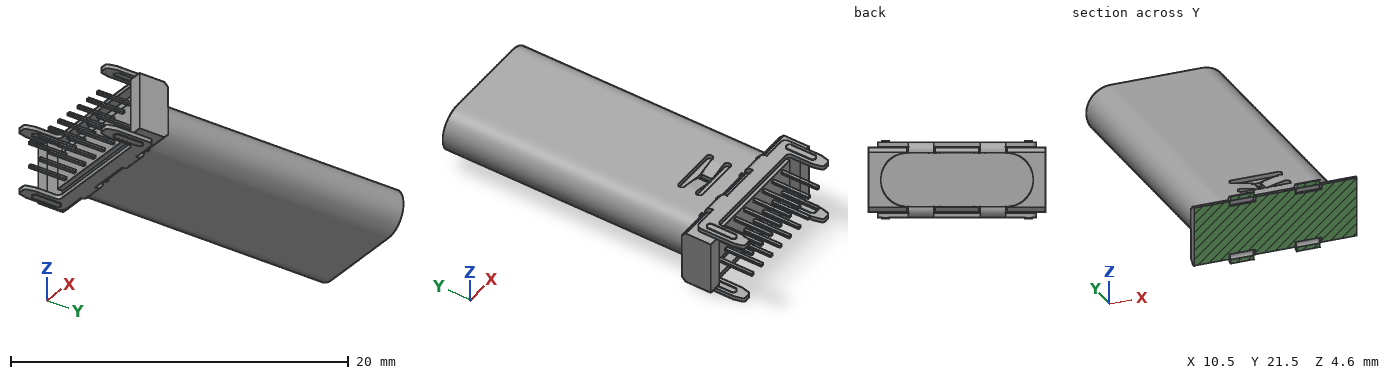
import cadquery as cq
import math

LENGTH = 21.5

SHELL_START = 3.98
SHELL_HALF_HEIGHT = 1.6
SHELL_FLAT_HALF_WIDTH = 2.95
EDGE_RADIUS = 1.57
SIDE_FLAT_HALF_HEIGHT = 0.1

BASE_WIDTH = 10.5
BASE_HEIGHT = 3.83
BASE_START = 1.91
BASE_CHAMFER = 0.28
POCKET_WIDTH = 8.65
POCKET_FLOOR = 3.0
CORE_HEIGHT = 2.25
CORE_START = 2.67

PIN_COUNT = 8
PIN_ROW_LENGTH = 7.0
PIN_PITCH = PIN_ROW_LENGTH / (PIN_COUNT - 1)
PIN_WIDTH = 0.22
PIN_THICKNESS = 0.15
PIN_TIP = 0.09
PIN_ROW_Z = 0.82

SHEET = 0.28
BRACKET_TOP = 2.24
BRACKET_BOTTOM = BRACKET_TOP - SHEET
BRACKET_END = 3.33
BRACKET_CORNER_RADIUS = 0.35
BRIDGE_START = 2.4
INNER_CORNER_RADIUS = 0.25
LEG_CENTRE = 4.24
LEG_WIDTH = 0.92
TAPER_LENGTH = 0.67
TIP_WIDTH = 0.6
TIP_RADIUS = 0.17
BEAD_WIDTH = 0.43
BEAD_START = 0.77
BEAD_END = 2.84
BEAD_HEIGHT = 0.06

TAB_INNER_X = 1.38
TAB_OUTER_X = 2.88
TAB_BEND_START = 3.38
TAB_FOOT_RADIUS = 0.06
TAB_RADIUS = SHELL_START - TAB_FOOT_RADIUS - TAB_BEND_START
TAB_CLEARANCE = 0.09
RELIEF_WIDTH = 0.35
RELIEF_LENGTH = 0.15
RELIEF_RADIUS = 0.13

SLOT_LENGTH = 3.35
SLOT_WIDTH = 0.43
SLOT_CORNER_RADIUS = 0.17
WINDOW_CENTRE = 5.85
SLOT_SPACING = 1.27
SLOT_DEPTH = 0.28
WINDOW_DEPTH = 0.54
TONGUE_ROOT = 1.4
TONGUE_BEND = 1.27
TONGUE_TIP = 0.2
TONGUE_DROP = 0.25
TONGUE_BEND_DROP = 0.02
TONGUE_CORNER_RADIUS = 0.13


def block(x_range, y_range, z_range):
    """Box spanning the given ranges."""
    sizes = [end - start for start, end in (x_range, y_range, z_range)]
    corner = (x_range[0], y_range[0], z_range[0])
    return cq.Workplane("XY").box(*sizes, centered=False).translate(corner)


def centred_block(width, y_range, height):
    """Box centred on X and Z."""
    return block((-width / 2, width / 2), y_range, (-height / 2, height / 2))


def both_faces(upper):
    """The upper feature together with its copy below the XY plane."""
    return upper.union(upper.mirror("XY"))


def both_sides(right):
    """The feature at +X together with its copy at -X."""
    return right.union(right.mirror("YZ"))


def make_shell():
    arc_centre_z = SHELL_HALF_HEIGHT - EDGE_RADIUS
    end_angle = math.asin((SIDE_FLAT_HALF_HEIGHT - arc_centre_z) / EDGE_RADIUS)
    mid_angle = (math.pi / 2 + end_angle) / 2

    def edge_point(angle):
        return (
            SHELL_FLAT_HALF_WIDTH + EDGE_RADIUS * math.cos(angle),
            arc_centre_z + EDGE_RADIUS * math.sin(angle),
        )

    quarter = (
        cq.Workplane("XZ", origin=(0, SHELL_START, 0))
        .lineTo(0, SHELL_HALF_HEIGHT)
        .lineTo(SHELL_FLAT_HALF_WIDTH, SHELL_HALF_HEIGHT)
        .threePointArc(edge_point(mid_angle), edge_point(end_angle))
        .lineTo(edge_point(end_angle)[0], 0)
        .close()
        .extrude(SHELL_START - LENGTH)
    )
    return both_faces(both_sides(quarter)).clean()


def make_base():
    base = centred_block(BASE_WIDTH, (BASE_START, SHELL_START), BASE_HEIGHT)
    base = base.faces(">Y").edges("|X").chamfer(BASE_CHAMFER)
    pocket = centred_block(POCKET_WIDTH, (BASE_START, POCKET_FLOOR), BASE_HEIGHT)
    core = centred_block(POCKET_WIDTH, (CORE_START, POCKET_FLOOR), CORE_HEIGHT)
    return base.cut(pocket).union(core)


def make_pins():
    length = CORE_START - PIN_TIP
    row = (
        cq.Workplane("XY")
        .rarray(PIN_PITCH, 0.22, PIN_COUNT, 1)
        .rect(PIN_WIDTH, PIN_THICKNESS)
        .extrude(length)
        .rotate((0, 0, 0), (1, 0, 0), -90)
        .translate((0, PIN_TIP, PIN_ROW_Z))
    )
    return both_faces(row)


def make_bracket():
    """Flat part of the upper bracket; each leg carries a pressed bead with a dent beneath it."""
    leg_outer = LEG_CENTRE + LEG_WIDTH / 2
    leg_inner = LEG_CENTRE - LEG_WIDTH / 2
    plate = cq.Workplane("XY", origin=(0, 0, BRACKET_BOTTOM))
    bridge = (
        plate.center(0, (BRACKET_END + TAPER_LENGTH) / 2)
        .rect(2 * leg_outer, BRACKET_END - TAPER_LENGTH)
        .extrude(SHEET)
        .edges("|Z and >Y")
        .fillet(BRACKET_CORNER_RADIUS)
    )
    opening = (
        plate.center(0, BRIDGE_START / 2)
        .rect(2 * leg_inner, BRIDGE_START)
        .extrude(SHEET)
        .edges("|Z and >Y")
        .fillet(INNER_CORNER_RADIUS)
    )
    tip = (
        plate.moveTo(LEG_CENTRE - TIP_WIDTH / 2, 0)
        .lineTo(LEG_CENTRE + TIP_WIDTH / 2, 0)
        .lineTo(leg_outer, TAPER_LENGTH)
        .lineTo(leg_inner, TAPER_LENGTH)
        .close()
        .extrude(SHEET)
        .edges("|Z and <Y")
        .fillet(TIP_RADIUS)
    )
    bead = (
        cq.Workplane("XY", origin=(LEG_CENTRE, (BEAD_START + BEAD_END) / 2, BRACKET_TOP))
        .slot2D(BEAD_END - BEAD_START, BEAD_WIDTH, 90)
        .extrude(BEAD_HEIGHT)
    )
    dent = bead.translate((0, 0, -SHEET))
    flat_bracket = bridge.cut(opening).union(both_sides(tip))
    return flat_bracket.union(both_sides(bead)).cut(both_sides(dent))


def make_tab():
    """Sheet bent down from the bracket through a quarter turn, with a rounded foot on the shell."""
    inner_radius = TAB_RADIUS - SHEET
    foot_top = SHELL_HALF_HEIGHT + TAB_FOOT_RADIUS
    bend_centre_z = BRACKET_TOP - TAB_RADIUS
    diagonal = math.sqrt(0.5)

    def bend_middle(radius):
        return TAB_BEND_START + radius * diagonal, bend_centre_z + radius * diagonal

    return (
        cq.Workplane("YZ", origin=(TAB_INNER_X, 0, 0))
        .moveTo(TAB_BEND_START - SHEET, BRACKET_TOP)
        .lineTo(TAB_BEND_START, BRACKET_TOP)
        .threePointArc(bend_middle(TAB_RADIUS), (TAB_BEND_START + TAB_RADIUS, bend_centre_z))
        .lineTo(SHELL_START - TAB_FOOT_RADIUS, foot_top)
        .threePointArc(
            (SHELL_START - TAB_FOOT_RADIUS * diagonal, foot_top - TAB_FOOT_RADIUS * diagonal),
            (SHELL_START, SHELL_HALF_HEIGHT),
        )
        .lineTo(TAB_BEND_START + inner_radius, SHELL_HALF_HEIGHT)
        .lineTo(TAB_BEND_START + inner_radius, bend_centre_z)
        .threePointArc(bend_middle(inner_radius), (TAB_BEND_START, BRACKET_BOTTOM))
        .lineTo(TAB_BEND_START - SHEET, BRACKET_BOTTOM)
        .close()
        .extrude(TAB_OUTER_X - TAB_INNER_X)
    )


def make_tab_notch():
    """Room in the base around one tab."""
    return block(
        (TAB_INNER_X - TAB_CLEARANCE, TAB_OUTER_X + TAB_CLEARANCE),
        (BRACKET_END, SHELL_START),
        (SHELL_HALF_HEIGHT, BASE_HEIGHT / 2),
    )


def make_tab_reliefs():
    """Rounded notches in the end of the shell on both sides of one tab."""
    y_range = (SHELL_START, SHELL_START + RELIEF_LENGTH)
    z_range = (SHELL_HALF_HEIGHT - SHEET, SHELL_HALF_HEIGHT)
    inner = block((TAB_INNER_X - RELIEF_WIDTH, TAB_INNER_X), y_range, z_range)
    outer = block((TAB_OUTER_X, TAB_OUTER_X + RELIEF_WIDTH), y_range, z_range)
    inner = inner.edges("|Z and >Y and <X").fillet(RELIEF_RADIUS)
    outer = outer.edges("|Z and >Y and >X").fillet(RELIEF_RADIUS)
    return inner.union(outer)


def make_latch_window():
    floor = SHELL_HALF_HEIGHT - WINDOW_DEPTH
    slots = (
        cq.Workplane("XY", origin=(0, WINDOW_CENTRE, SHELL_HALF_HEIGHT))
        .rarray(0.22, SLOT_SPACING, 1, 2)
        .rect(SLOT_LENGTH, SLOT_WIDTH)
        .extrude(-SLOT_DEPTH)
        .edges("|Z")
        .fillet(SLOT_CORNER_RADIUS)
    )
    tongue_half_width = (SLOT_SPACING - SLOT_WIDTH) / 2
    y_range = (WINDOW_CENTRE - tongue_half_width, WINDOW_CENTRE + tongue_half_width)
    opening = block((-TONGUE_ROOT, TONGUE_ROOT), y_range, (floor, SHELL_HALF_HEIGHT))
    tongue = (
        cq.Workplane("XZ", origin=(0, y_range[1], 0))
        .moveTo(TONGUE_ROOT, floor)
        .lineTo(TONGUE_ROOT, SHELL_HALF_HEIGHT)
        .lineTo(TONGUE_BEND, SHELL_HALF_HEIGHT - TONGUE_BEND_DROP)
        .lineTo(TONGUE_TIP, SHELL_HALF_HEIGHT - TONGUE_DROP)
        .lineTo(TONGUE_TIP, floor)
        .close()
        .extrude(2 * tongue_half_width)
        .edges("|Z and <X")
        .fillet(TONGUE_CORNER_RADIUS)
    )
    return slots.union(opening.cut(both_sides(tongue)))


body = make_shell().union(make_base())
body = body.cut(both_faces(both_sides(make_tab_notch())))
body = body.cut(both_faces(both_sides(make_tab_reliefs())))
body = body.cut(make_latch_window())

brackets = both_faces(make_bracket().union(both_sides(make_tab())))
result = body.union(make_pins()).union(brackets)